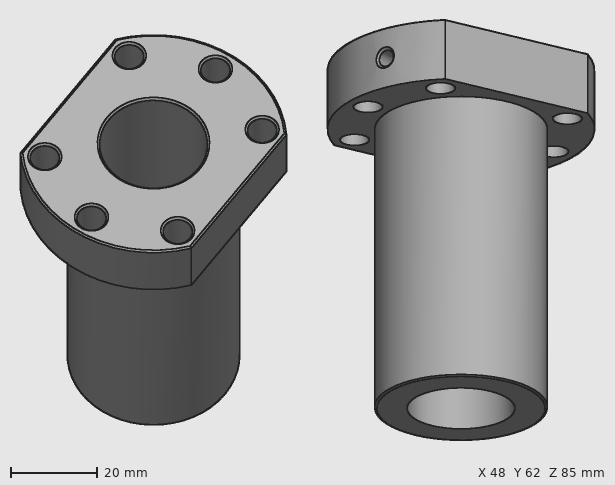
import cadquery as cq
import math

total_length = 85.0
body_diameter = 40.0
bore_diameter = 25.0

chamfer_width = 0.5
chamfer_height = 0.3

mouth_chamfer = 0.5

flange_diameter = 62.0
flange_width = 48.0
flange_thickness = 15.05
flange_bottom = total_length - flange_thickness

bolt_circle_diameter = 51.0
bolt_hole_diameter = 6.8
outer_bolt_angle = 47.0

port_diameter = 4.0
port_mouth_diameter = 5.2
port_depth = 10.0
port_angle = 113.0
port_height = flange_bottom + flange_thickness / 2


def make_body():
    """Round sleeve with a chamfered lower rim."""
    radius = body_diameter / 2
    top = flange_bottom + flange_thickness / 2
    half_section = [
        (0, 0),
        (radius - chamfer_width, 0),
        (radius, chamfer_height),
        (radius, top),
        (0, top),
    ]
    return cq.Workplane("XZ").polyline(half_section).close().revolve(360, (0, 0), (0, 1))


def make_flange():
    """Round flange with two flats across X, chamfered along its whole top rim."""
    radius = flange_diameter / 2
    half_section = [
        (0, flange_bottom),
        (radius, flange_bottom),
        (radius, total_length - chamfer_height),
        (radius - chamfer_width, total_length),
        (0, total_length),
    ]
    disc = cq.Workplane("XZ").polyline(half_section).close().revolve(360, (0, 0), (0, 1))
    half_width = flange_width / 2
    width_section = [
        (-half_width, flange_bottom),
        (half_width, flange_bottom),
        (half_width, total_length - chamfer_height),
        (half_width - chamfer_width, total_length),
        (chamfer_width - half_width, total_length),
        (-half_width, total_length - chamfer_height),
    ]
    flats = cq.Workplane("XZ").polyline(width_section).close().extrude(radius, both=True)
    return disc.intersect(flats)


def bolt_points():
    """Centres of the six mounting holes: three around +Y and three around -Y."""
    radius = bolt_circle_diameter / 2
    points = []
    for side_angle in (90.0, 270.0):
        for offset in (-outer_bolt_angle, 0.0, outer_bolt_angle):
            angle = math.radians(side_angle + offset)
            points.append((radius * math.cos(angle), radius * math.sin(angle)))
    return points


def make_chamfered_hole(diameter, bottom):
    """Cutter along the Z axis from the given height up to a chamfered mouth in the top face."""
    radius = diameter / 2
    half_section = [
        (0, bottom),
        (radius, bottom),
        (radius, total_length - mouth_chamfer),
        (radius + mouth_chamfer, total_length),
        (0, total_length),
    ]
    return cq.Workplane("XZ").polyline(half_section).close().revolve(360, (0, 0), (0, 1))


def make_port():
    """Cutter for the radial blind hole with a 45 degree countersunk mouth at the flange rim."""
    rim = flange_diameter / 2
    countersink = (port_mouth_diameter - port_diameter) / 2
    half_section = [
        (rim - port_depth, 0),
        (rim - port_depth, port_diameter / 2),
        (rim - countersink, port_diameter / 2),
        (rim, port_mouth_diameter / 2),
        (rim, 0),
    ]
    cutter = cq.Workplane("XY").polyline(half_section).close().revolve(360, (0, 0), (1, 0))
    return cutter.rotate((0, 0, 0), (0, 0, 1), port_angle).translate((0, 0, port_height))


result = make_body().union(make_flange())
result = result.cut(make_chamfered_hole(bore_diameter, 0))
for x, y in bolt_points():
    bolt_hole = make_chamfered_hole(bolt_hole_diameter, flange_bottom)
    result = result.cut(bolt_hole.translate((x, y, 0)))
result = result.cut(make_port())